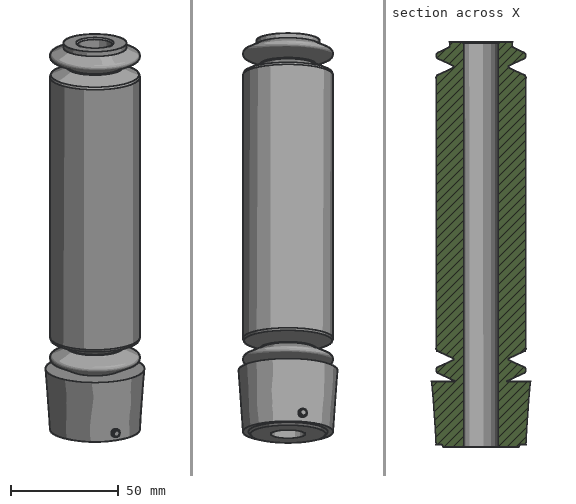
import cadquery as cq
import math

total_height = 188.4
bore_diameter = 16.0
bore_chamfer = 0.8

foot_diameter = 35.0
foot_top_diameter = 37.0
foot_height = 1.1
cup_bottom_diameter = 42.0
cup_top_diameter = 46.1
cup_top_z = 30.5

body_diameter = 42.0
body_bottom_z = 45.8
body_top_z = 171.8
shoulder_diameter = 41.0
shoulder_height = 1.1

neck_diameter = 25.8
flank_angle = math.radians(25)
crest_radius = 1.7
lower_ridge_z = 35.8
upper_ridge_z = 182.0

collar_diameter = 29.4
collar_height = 2.3

pin_diameter = 4.0
pin_z = 5.0
pin_span = 46.1
pin_chamfer = 0.5
pin_root_x = 18.8

flank_slope = math.tan(flank_angle)
crest_half_height = crest_radius * math.cos(flank_angle)
crest_edge_radius = body_diameter / 2 - crest_radius * (1 - math.sin(flank_angle))

lower_shoulder_z = body_bottom_z - shoulder_height
upper_shoulder_z = body_top_z + shoulder_height
shoulder_flank_height = (shoulder_diameter - neck_diameter) / 2 * flank_slope
ridge_flank_height = (crest_edge_radius - neck_diameter / 2) * flank_slope
ridge_to_neck = crest_half_height + ridge_flank_height

lower_root_drop = lower_ridge_z - crest_half_height - cup_top_z
lower_root_radius = crest_edge_radius - lower_root_drop / flank_slope


def add_ridge_crest(profile, ridge_z):
    """Continue the profile to the ridge and round its crest."""
    return (
        profile.lineTo(crest_edge_radius, ridge_z - crest_half_height)
        .threePointArc((body_diameter / 2, ridge_z), (crest_edge_radius, ridge_z + crest_half_height))
    )


def make_turned_body():
    """Revolve the whole outer profile around Z."""
    profile = (
        cq.Workplane("XZ")
        .moveTo(0, 0)
        .lineTo(foot_diameter / 2, 0)
        .lineTo(foot_top_diameter / 2, foot_height)
        .lineTo(cup_bottom_diameter / 2, foot_height)
        .lineTo(cup_top_diameter / 2, cup_top_z)
        .lineTo(lower_root_radius, cup_top_z)
    )
    profile = add_ridge_crest(profile, lower_ridge_z)
    profile = (
        profile.lineTo(neck_diameter / 2, lower_ridge_z + ridge_to_neck)
        .lineTo(neck_diameter / 2, lower_shoulder_z - shoulder_flank_height)
        .lineTo(shoulder_diameter / 2, lower_shoulder_z)
        .lineTo(body_diameter / 2, body_bottom_z)
        .lineTo(body_diameter / 2, body_top_z)
        .lineTo(shoulder_diameter / 2, upper_shoulder_z)
        .lineTo(neck_diameter / 2, upper_shoulder_z + shoulder_flank_height)
        .lineTo(neck_diameter / 2, upper_ridge_z - ridge_to_neck)
    )
    profile = add_ridge_crest(profile, upper_ridge_z)
    profile = (
        profile.lineTo(collar_diameter / 2, total_height - collar_height)
        .lineTo(collar_diameter / 2, total_height)
        .lineTo(0, total_height)
        .close()
    )
    return profile.revolve(360, (0, 0, 0), (0, 1, 0))


def make_pin(side):
    """Make a radial pin on the +X (side = 1) or -X (side = -1) wall of the cup."""
    pin_length = pin_span / 2 - pin_root_x
    return (
        cq.Workplane("YZ", origin=(side * pin_root_x, 0, pin_z))
        .circle(pin_diameter / 2)
        .extrude(side * pin_length)
        .faces(">X" if side > 0 else "<X")
        .chamfer(pin_chamfer)
    )


def make_bore():
    """Make the through bore with a chamfered mouth at the top."""
    bore = cq.Workplane("XY").circle(bore_diameter / 2).extrude(total_height)
    mouth = cq.Solid.makeCone(
        bore_diameter / 2,
        bore_diameter / 2 + bore_chamfer,
        bore_chamfer,
        pnt=cq.Vector(0, 0, total_height - bore_chamfer),
    )
    return bore.union(cq.Workplane(mouth))


result = make_turned_body()
for side in (1, -1):
    result = result.union(make_pin(side))
result = result.cut(make_bore())